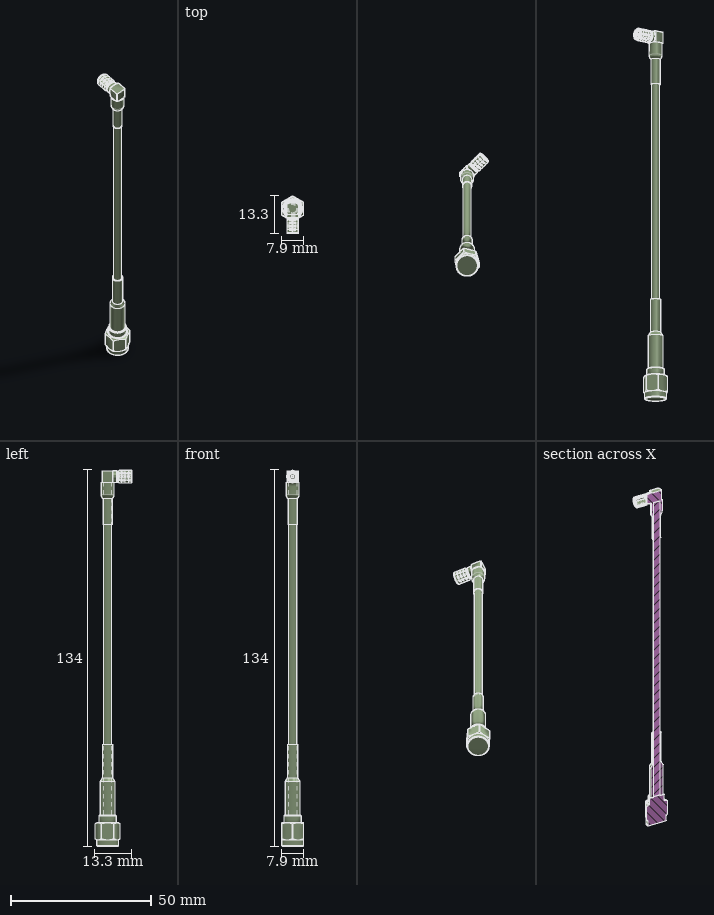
import cadquery as cq
import math

total_height = 134.0
total_depth = 13.3

hex_bottom = 2.3
hex_top = 8.6
collar_top = 11.1
sleeve_shoulder = 23.0
sleeve_neck = 24.4
sleeve_top = 36.3
ferrule_bottom = 114.7
barrel_bottom = 123.8
barrel_curve_top = 125.3

nut_flats = 7.9
nut_corners = nut_flats / math.cos(math.pi / 6)
nut_turned_diameter = 9.0
nut_top_diameter = 7.1
nut_top_chamfer_height = 0.5
nut_lower_chamfer_height = 0.4
nut_end_chamfer = 0.3
nut_collar_diameter = 6.3
nut_collar_chamfer = 0.3

cable_diameter = 3.0
sleeve_large_diameter = 5.4
sleeve_small_diameter = 3.8
ferrule_diameter = 3.4

barrel_diameter = 4.7
block_side = 4.0
block_edge_chamfer = 0.3

plug_tip = total_depth - nut_turned_diameter / 2
plug_flats = 4.0
plug_corners = plug_flats / math.cos(math.pi / 6)
plug_hex_start = 3.9
plug_corner_chamfer = 0.34
flange_diameter = 4.3
flange_end = 3.5
flange_chamfer = 0.3

socket_diameter = 3.4
socket_depth = 4.5
thread_diameter = 3.8
thread_pitch = 1.2
thread_count = 3
thread_start = 1.3
entry_depth = 0.3
contact_recess = 0.4
contact_diameter = 3.0
contact_bore_diameter = 2.1
pin_diameter = 1.02
pin_bore_diameter = 0.65

plug_axis_z = total_height - plug_corners / 2
block_bottom = plug_axis_z - block_side / 2


def disc(diameter, bottom, top):
    """Solid cylinder on the Z axis between two levels."""
    return cq.Workplane("XY").workplane(offset=bottom).circle(diameter / 2).extrude(top - bottom)


def ring(outer_diameter, inner_diameter, bottom, top):
    """Tube on the Z axis between two levels."""
    return disc(outer_diameter, bottom, top).cut(disc(inner_diameter, bottom, top))


def hex_bar(corners, bottom, top):
    """Hexagon bar with two of its corners on the Y axis."""
    return (
        cq.Workplane("XY")
        .workplane(offset=bottom)
        .transformed(rotate=(0, 0, 90))
        .polygon(6, corners)
        .extrude(top - bottom)
    )


def turned_blank(diameter, bottom, top, lower_cut, upper_cut):
    """Disc with conical ends; each cut is its axial height and its radial depth."""
    blank = disc(diameter, bottom, top)
    blank = blank.faces("<Z").edges().chamfer(*lower_cut)
    return blank.faces(">Z").edges().chamfer(*upper_cut)


def make_cable():
    """Plain round cable from the nut's collar to the square block."""
    return disc(cable_diameter, collar_top, block_bottom)


def make_coupling_nut():
    """Round skirt, hexagon with turned corners, and a round collar on top."""
    skirt = disc(nut_flats, 0, hex_bottom).faces("<Z").chamfer(nut_end_chamfer)
    lower_cut = (nut_lower_chamfer_height, (nut_turned_diameter - nut_flats) / 2)
    upper_cut = (nut_top_chamfer_height, (nut_turned_diameter - nut_top_diameter) / 2)
    blank = turned_blank(nut_turned_diameter, hex_bottom, hex_top, lower_cut, upper_cut)
    hexagon = hex_bar(nut_corners, hex_bottom, hex_top).intersect(blank)
    collar = disc(nut_collar_diameter, hex_top, collar_top).faces(">Z").chamfer(nut_collar_chamfer)
    return skirt.union(hexagon).union(collar)


def make_sleeve():
    """Stepped tube around the cable with a conical shoulder."""
    outer = sleeve_large_diameter / 2
    neck = sleeve_small_diameter / 2
    bore = cable_diameter / 2
    return (
        cq.Workplane("XZ")
        .moveTo(bore, collar_top)
        .lineTo(outer, collar_top)
        .lineTo(outer, sleeve_shoulder)
        .lineTo(neck, sleeve_neck)
        .lineTo(neck, sleeve_top)
        .lineTo(bore, sleeve_top)
        .close()
        .revolve(360, (0, 0), (0, 1))
    )


def make_barrel():
    """Round barrel that curves in at its lower end to the thinner ferrule."""
    outer = barrel_diameter / 2
    ferrule = ferrule_diameter / 2
    return (
        cq.Workplane("XZ")
        .moveTo(0, block_bottom)
        .lineTo(outer, block_bottom)
        .lineTo(outer, barrel_curve_top)
        .tangentArcPoint((ferrule, barrel_bottom), relative=False)
        .lineTo(ferrule, ferrule_bottom)
        .lineTo(0, ferrule_bottom)
        .close()
        .revolve(360, (0, 0), (0, 1))
    )


def make_block():
    """Square block with bevelled upright edges."""
    return (
        cq.Workplane("XY")
        .workplane(offset=block_bottom)
        .rect(block_side, block_side)
        .extrude(block_side)
        .edges("|Z")
        .chamfer(block_edge_chamfer)
    )


def thread_groove(middle):
    """Ring with a V-shaped outer edge, as wide as half the thread pitch."""
    half_width = thread_pitch / 4
    return (
        cq.Workplane("XZ")
        .moveTo(0, middle - half_width)
        .lineTo(socket_diameter / 2, middle - half_width)
        .lineTo(thread_diameter / 2, middle)
        .lineTo(socket_diameter / 2, middle + half_width)
        .lineTo(0, middle + half_width)
        .close()
        .revolve(360, (0, 0), (0, 1))
    )


def make_plug():
    """Plug built along +Z from the cable axis, then laid along -Y."""
    flange = disc(flange_diameter, block_side / 2, flange_end).faces(">Z").chamfer(flange_chamfer)
    neck = disc(plug_flats, flange_end, plug_hex_start)
    corner_cut = (plug_corner_chamfer, (plug_corners - plug_flats) / 2)
    blank = turned_blank(plug_corners, plug_hex_start, plug_tip, corner_cut, corner_cut)
    hexagon = hex_bar(plug_corners, plug_hex_start, plug_tip).intersect(blank)
    plug = flange.union(neck).union(hexagon)

    floor = plug_tip - socket_depth
    plug = plug.cut(disc(socket_diameter, floor, plug_tip))
    plug = plug.cut(disc(thread_diameter, plug_tip - entry_depth, plug_tip))
    for index in range(thread_count):
        plug = plug.cut(thread_groove(plug_tip - thread_start - index * thread_pitch))

    contact_top = plug_tip - contact_recess
    plug = plug.union(ring(contact_diameter, contact_bore_diameter, floor, contact_top))
    plug = plug.union(ring(pin_diameter, pin_bore_diameter, floor, contact_top))
    return plug.rotate((0, 0, 0), (1, 0, 0), 90).translate((0, 0, plug_axis_z))


def make_angle_connector():
    """Barrel, block and plug in one piece, bored for the cable."""
    connector = make_barrel().union(make_block()).union(make_plug())
    return connector.cut(make_cable())


cable = make_cable()
coupling_nut = make_coupling_nut()
sleeve = make_sleeve()
angle_connector = make_angle_connector()

bodies = [cable, coupling_nut, sleeve, angle_connector]
result = cq.Compound.makeCompound([body.solids().val() for body in bodies])